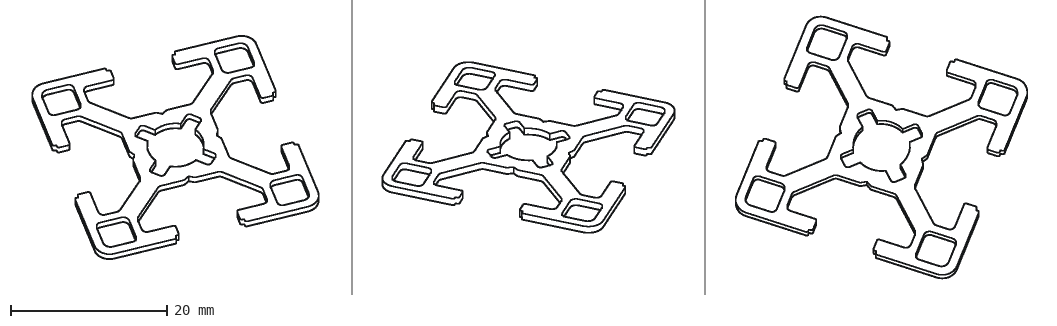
import cadquery as cq
import math

side = 30.0
thickness = 1.0
half_side = side / 2
outer_corner_radius = 2.0

slot_opening = 8.22
lip_thickness = 2.2
lip_step_width = 0.48
lip_step_depth = 0.48
slot_inner_width = 16.8
core_width = 11.9
web_thickness = 2.6
slot_radius = 0.7
lip_step_radius = 0.1
lip_outer_radius = 0.25
lip_inner_radius = 0.3

groove_depth = 0.45
groove_half_width = 0.72
groove_edge_radius = 0.5

cell_wall = 1.2
cell_size = 4.32
cell_outer_radius = 1.0
cell_inner_radius = 0.8
cell_side_radius = 0.65

bore_radius = 3.63
relief_width = 2.07
relief_reach = 5.45
relief_radius = 0.45


def move_along(start, target, distance):
    """Point at a given distance from start on the line to target."""
    ratio = distance / math.dist(start, target)
    return tuple(s + (t - s) * ratio for s, t in zip(start, target))


def corner_arc(before, corner, after, radius):
    """Start, middle and end of the arc that rounds a corner."""
    to_before = math.atan2(before[1] - corner[1], before[0] - corner[0])
    to_after = math.atan2(after[1] - corner[1], after[0] - corner[0])
    half_angle = math.acos(math.cos(to_before - to_after)) / 2
    setback = radius / math.tan(half_angle)
    start = move_along(corner, before, setback)
    end = move_along(corner, after, setback)
    chord_middle = tuple((s + e) / 2 for s, e in zip(start, end))
    arc_middle = move_along(corner, chord_middle, radius / math.sin(half_angle) - radius)
    return start, arc_middle, end


def rounded_prism(corners):
    """Extrude a closed outline given as (x, y, corner radius); radius 0 stays sharp."""
    sketch = cq.Workplane("XY")
    for i, (x, y, radius) in enumerate(corners):
        corner = (x, y)
        if radius > 0:
            before = corners[i - 1][:2]
            after = corners[(i + 1) % len(corners)][:2]
            start, middle, end = corner_arc(before, corner, after, radius)
        else:
            start = corner
        sketch = sketch.moveTo(*start) if i == 0 else sketch.lineTo(*start)
        if radius > 0:
            sketch = sketch.threePointArc(middle, end)
    return sketch.close().extrude(thickness)


def side_corners():
    """Outline corners of the +Y side, from its left outer corner to its right lip."""
    lip_end = slot_opening / 2
    step_end = lip_end + lip_step_width
    step_level = half_side - lip_step_depth
    lip_underside = half_side - lip_thickness
    slot_wall = slot_inner_width / 2
    slot_floor = core_width / 2
    web_offset = web_thickness / math.sqrt(2)
    right_half = [
        (groove_half_width, slot_floor, groove_edge_radius),
        (slot_floor - web_offset, slot_floor, slot_radius),
        (slot_wall, slot_wall + web_offset, slot_radius),
        (slot_wall, lip_underside, slot_radius),
        (lip_end, lip_underside, lip_inner_radius),
        (lip_end, step_level, lip_outer_radius),
        (step_end, step_level, lip_step_radius),
        (step_end, half_side, lip_outer_radius),
    ]
    left_half = [(-x, y, radius) for x, y, radius in reversed(right_half)]
    outer_corner = (-half_side, half_side, outer_corner_radius)
    groove_bottom = (0, slot_floor - groove_depth, 0)
    return [outer_corner] + left_half + [groove_bottom] + right_half


def profile_body():
    corners = []
    for turn in range(4):
        for x, y, radius in side_corners():
            for _ in range(turn):
                x, y = y, -x
            corners.append((x, y, radius))
    return rounded_prism(corners)


def corner_cell():
    far = half_side - cell_wall
    near = far - cell_size
    return rounded_prism([
        (near, near, cell_inner_radius),
        (far, near, cell_side_radius),
        (far, far, cell_outer_radius),
        (near, far, cell_side_radius),
    ])


def bore_relief():
    half_width = relief_width / 2
    relief = rounded_prism([
        (0, -half_width, 0),
        (relief_reach, -half_width, relief_radius),
        (relief_reach, half_width, relief_radius),
        (0, half_width, 0),
    ])
    return relief.rotate((0, 0, 0), (0, 0, 1), 45)


result = profile_body()
result = result.cut(cq.Workplane("XY").circle(bore_radius).extrude(thickness))
for cutter in (corner_cell(), bore_relief()):
    for turn in range(4):
        result = result.cut(cutter.rotate((0, 0, 0), (0, 0, 1), 90 * turn))